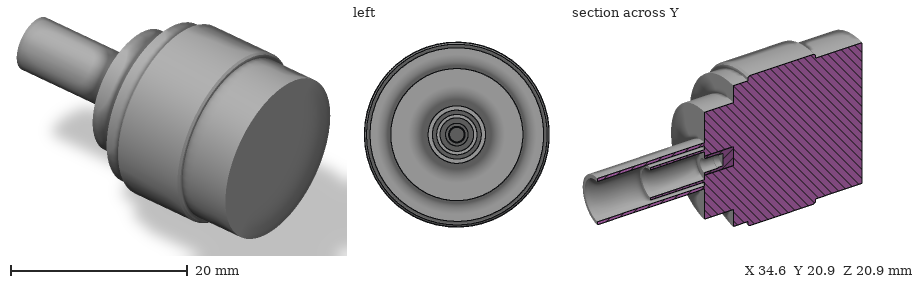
import cadquery as cq

FERRULE_END = 0.0
STEM_END = 6.93
COLLAR_START = 14.0
SHELL_START = 17.78
BAND_START = 19.68
BAND_END = 28.55
SHELL_END = 34.65

FERRULE_RADIUS = 3.25
FERRULE_BORE_RADIUS = 2.77

COLLAR_RADIUS = 7.5
SHELL_RADIUS = 9.85
BAND_DIAMETER = 20.95
BAND_CHAMFER = 0.25
STEM_RADIUS = 2.3
STEM_BORE_RADIUS = 1.9

PIN_RADIUS = 1.28
PIN_HOLE_RADIUS = 0.95
PIN_HOLE_TIP_RADIUS = 0.83
PIN_START = COLLAR_START
PIN_END = SHELL_START
PIN_HOLE_DEPTH = 1.73
PIN_HOLE_TIP_DEPTH = 2.43


def cylinder(start, end, radius):
    """Cylinder on the X axis between two axial positions."""
    return cq.Workplane("YZ", origin=(start, 0, 0)).circle(radius).extrude(end - start)


def make_ferrule():
    """Open crimp tube that butts against the collar of the connector."""
    tube = cylinder(FERRULE_END, COLLAR_START, FERRULE_RADIUS)
    return tube.cut(cylinder(FERRULE_END, COLLAR_START, FERRULE_BORE_RADIUS))


def make_connector():
    """Stepped shell with a raised grip band and a hollow stem inside the ferrule."""
    collar = cylinder(COLLAR_START, SHELL_START, COLLAR_RADIUS)
    shell = cylinder(SHELL_START, SHELL_END, SHELL_RADIUS)
    band = cylinder(BAND_START, BAND_END, BAND_DIAMETER / 2).faces("<X or >X").chamfer(BAND_CHAMFER)
    stem = cylinder(STEM_END, COLLAR_START, STEM_RADIUS)
    stem_bore = cylinder(STEM_END, COLLAR_START, STEM_BORE_RADIUS)
    pin_seat = cylinder(PIN_START, PIN_END, PIN_RADIUS)
    return collar.union(shell).union(band).union(stem).cut(stem_bore).cut(pin_seat)


def make_pin():
    """Contact pin with a stepped blind hole for the cable's inner conductor."""
    pin = cylinder(PIN_START, PIN_END, PIN_RADIUS)
    hole = cylinder(PIN_START, PIN_START + PIN_HOLE_DEPTH, PIN_HOLE_RADIUS)
    hole_tip = cylinder(PIN_START, PIN_START + PIN_HOLE_TIP_DEPTH, PIN_HOLE_TIP_RADIUS)
    return pin.cut(hole).cut(hole_tip)


ferrule = make_ferrule()
connector = make_connector()
pin = make_pin()

result = cq.Compound.makeCompound([ferrule.val(), connector.val(), pin.val()])